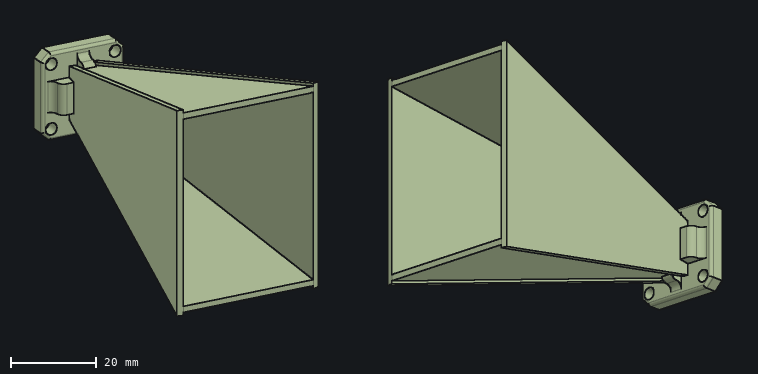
import cadquery as cq
import math

total_length = 83.1
mouth_width = 37.8
mouth_height = 51.7
wall = 1.6

flange_size = 22.2
flange_thickness = 3.9
flange_corner = 2.2
flange_edge_radius = 0.75
hole_diameter = 3.0
hole_spacing_y = 17.0
hole_spacing_z = 16.3

guide_width = 4.3
guide_height = 8.6

edge_step = 0.75
rib_radius = 1.7
rib_reach = 7.9
rib_width_y = 7.8
rib_width_z = 3.2

horn_length = total_length - flange_thickness

throat_half_y = guide_width / 2
flare_guess = math.atan2(mouth_width / 2 - wall - throat_half_y, horn_length)
mouth_half_y = mouth_width / 2 - wall * math.cos(flare_guess)
side_flare = math.atan2(mouth_half_y - throat_half_y, horn_length)

throat_half_z = guide_height / 2
throat_edge_z = throat_half_z + wall + edge_step
mouth_edge_z = mouth_height / 2
mouth_half_z = mouth_edge_z - edge_step - wall


def tapered_block(throat_y, throat_z, mouth_y, mouth_z):
    """Pyramid frustum from the flange to the mouth, given half widths and half heights."""
    return (
        cq.Workplane("YZ", origin=(flange_thickness, 0, 0))
        .rect(2 * throat_y, 2 * throat_z)
        .workplane(offset=horn_length)
        .rect(2 * mouth_y, 2 * mouth_z)
        .loft(ruled=True, combine=True)
    )


def side_wall():
    """Flat trapezoid wall on the -Y side, lying on the cavity's sloped face."""
    slope_length = math.hypot(horn_length, mouth_half_y - throat_half_y)
    plane = cq.Plane(
        origin=(flange_thickness, -throat_half_y, 0),
        xDir=(math.cos(side_flare), -math.sin(side_flare), 0),
        normal=(-math.sin(side_flare), -math.cos(side_flare), 0),
    )
    return (
        cq.Workplane(plane)
        .moveTo(0, -throat_edge_z)
        .lineTo(slope_length, -mouth_edge_z)
        .lineTo(slope_length, mouth_edge_z)
        .lineTo(0, throat_edge_z)
        .close()
        .extrude(wall)
    )


def flange():
    """Square plate with cut corners and a rounded rear rim."""
    return (
        cq.Workplane("YZ")
        .rect(flange_size, flange_size)
        .extrude(flange_thickness)
        .edges("|X")
        .chamfer(flange_corner)
        .faces(">X")
        .edges()
        .fillet(flange_edge_radius)
    )


def rib_pair(plane_name, width):
    """Two opposite ribs: a hollow fillet off the flange runs into a rounded crest."""
    foot = rib_reach + rib_radius
    crest_x = flange_thickness + rib_radius
    end_x = crest_x + rib_radius
    shoulder = rib_reach - rib_radius
    bend = rib_radius * math.sqrt(0.5)
    return (
        cq.Workplane(plane_name)
        .moveTo(flange_thickness, -foot)
        .lineTo(flange_thickness, foot)
        .threePointArc((crest_x - bend, foot - bend), (crest_x, rib_reach))
        .threePointArc((crest_x + bend, shoulder + bend), (end_x, shoulder))
        .lineTo(end_x, -shoulder)
        .threePointArc((crest_x + bend, -shoulder - bend), (crest_x, -rib_reach))
        .threePointArc((crest_x - bend, bend - foot), (flange_thickness, -foot))
        .close()
        .extrude(width / 2, both=True)
    )


near_wall = side_wall()
body = tapered_block(throat_half_y, throat_half_z + wall, mouth_half_y, mouth_half_z + wall)
body = body.union(near_wall).union(near_wall.mirror("XZ"))
body = body.union(flange())
body = body.union(rib_pair("XY", rib_width_y)).union(rib_pair("XZ", rib_width_z))

guide = cq.Workplane("YZ").rect(guide_width, guide_height).extrude(flange_thickness)
cavity = tapered_block(throat_half_y, throat_half_z, mouth_half_y, mouth_half_z)
body = body.cut(guide).cut(cavity)

bolt_holes = (
    cq.Workplane("YZ")
    .rect(hole_spacing_y, hole_spacing_z, forConstruction=True)
    .vertices()
    .circle(hole_diameter / 2)
    .extrude(flange_thickness)
)
result = body.cut(bolt_holes)